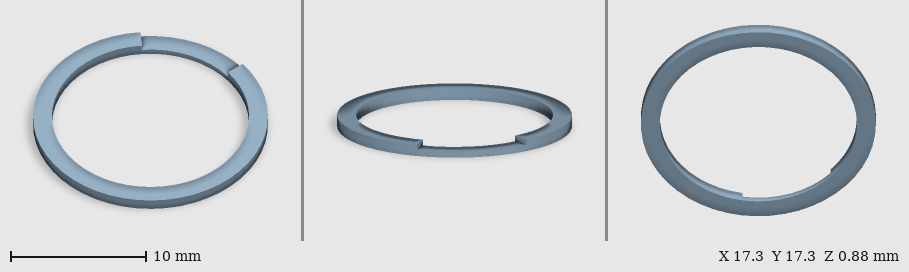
import cadquery as cq
import math

outer_diameter = 17.34
inner_diameter = 14.55
thickness = 0.88
step_depth = thickness / 2

step_start_angle = 57.3
step_end_angle = 113.8


def make_ring():
    """Flat ring resting on the XY plane."""
    return cq.Workplane("XY").circle(outer_diameter / 2).circle(inner_diameter / 2).extrude(thickness)


def make_step_cutter():
    """Wedge over the upper half of the ring, bounded by two radial end faces."""
    reach = outer_diameter

    def radial_point(angle):
        radians = math.radians(angle)
        return (reach * math.cos(radians), reach * math.sin(radians))

    return (
        cq.Workplane("XY")
        .workplane(offset=thickness - step_depth)
        .moveTo(0, 0)
        .lineTo(*radial_point(step_start_angle))
        .threePointArc(
            radial_point((step_start_angle + step_end_angle) / 2),
            radial_point(step_end_angle),
        )
        .close()
        .extrude(step_depth)
    )


result = make_ring().cut(make_step_cutter())